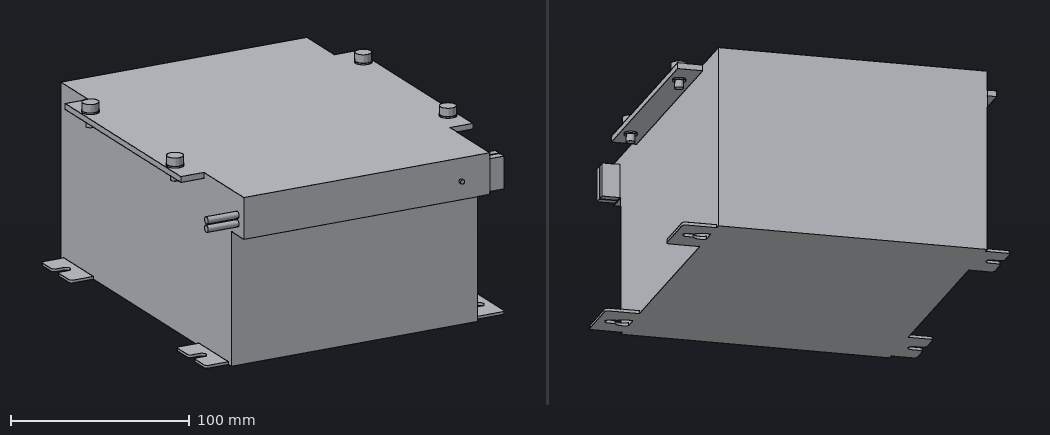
import cadquery as cq

overall_length = 218.0

housing_height = 105.0
base_length = 201.6
overhang_length = 14.5
overhang_height = 24.9
housing_depth = 156.3
upper_length = base_length + overhang_length
middle_x = base_length / 2

cover_length = 136.7
cover_reach = 14.5
cover_thickness = 3.5

screw_spacing = 100.0
screw_reach = 8.5
head_diameter = 9.5
head_height = 5.0
washer_diameter = 10.0
washer_thickness = 0.9
nut_diameter = 7.5
nut_thickness = 0.9
shank_diameter = 5.0
shank_reach = 5.2

tab_length = 35.0
tab_inset = 3.5
tab_thickness = 1.7
tab_corner_radius = 2.2
front_tab_reach = cover_reach
rear_tab_reach = 19.6
slot_inset = 20.5
slot_width = 5.5
front_slot_depth = 9.5
keyhole_diameter = 11.0
keyhole_reach = 3.5
keyhole_neck_reach = 14.8

cable_count = 2
cable_diameter = 4.1
cable_pitch = 5.0
cable_reach = 19.6
cable_x = 208.6
upper_cable_drop = 12.6

terminal_width = 5.0
terminal_gap = 0.9
terminal_reach = 10.2
terminal_height = 19.6
terminal_drop = 4.4
terminal_x = 208.8

pin_diameter = 2.6
pin_reach = overall_length - upper_length
pin_drop = 13.7
pin_rear_inset = 18.3
pin_y = housing_depth - pin_rear_inset


def block(x, y, z, length, depth, height):
    """Box placed by its lowest corner."""
    return cq.Workplane("XY").box(length, depth, height, centered=False).translate((x, y, z))


def disc(x, y, z, diameter, height):
    """Upright cylinder standing on height z."""
    return cq.Workplane("XY").circle(diameter / 2).extrude(height).translate((x, y, z))


def housing():
    overhang_bottom = housing_height - overhang_height
    lower = block(0, 0, 0, base_length, housing_depth, housing_height)
    upper = block(0, 0, overhang_bottom, upper_length, housing_depth, overhang_height)
    return lower.union(upper)


def cover():
    return block(
        middle_x - cover_length / 2,
        -cover_reach,
        housing_height - cover_thickness,
        cover_length,
        housing_depth + 2 * cover_reach,
        cover_thickness,
    )


def screw(x, y):
    """Screw through the cover lip, with a washer above and a nut below."""
    cover_bottom = housing_height - cover_thickness
    washer = disc(x, y, housing_height, washer_diameter, washer_thickness)
    head = disc(x, y, housing_height + washer_thickness, head_diameter, head_height)
    nut = disc(x, y, cover_bottom - nut_thickness, nut_diameter, nut_thickness)
    shank = disc(x, y, cover_bottom - shank_reach, shank_diameter, shank_reach)
    return washer.union(head).union(nut).union(shank)


def front_tab(x, slot_x):
    """Tab on the front wall, its left end at x, with a round-ended slot open to its front edge."""
    slot_end_y = front_slot_depth - front_tab_reach - slot_width / 2
    slot_straight = front_slot_depth - slot_width / 2
    plate = block(x, -front_tab_reach, 0, tab_length, front_tab_reach, tab_thickness)
    slot = block(slot_x - slot_width / 2, -front_tab_reach, 0, slot_width, slot_straight, tab_thickness)
    slot = slot.union(disc(slot_x, slot_end_y, 0, slot_width, tab_thickness))
    return plate.cut(slot).faces("<Y").edges("|Z").fillet(tab_corner_radius)


def rear_tab(x, keyhole_x):
    """Tab on the rear wall, its left end at x, with a keyhole that stops at the wall."""
    round_y = housing_depth + keyhole_reach
    neck_end_y = housing_depth + keyhole_neck_reach - slot_width / 2
    plate = block(x, housing_depth, 0, tab_length, rear_tab_reach, tab_thickness)
    plate = plate.edges("|Z and >Y").fillet(tab_corner_radius)
    neck = block(keyhole_x - slot_width / 2, round_y, 0, slot_width, neck_end_y - round_y, tab_thickness)
    neck_end = disc(keyhole_x, neck_end_y, 0, slot_width, tab_thickness)
    round_hole = disc(keyhole_x, round_y, 0, keyhole_diameter, tab_thickness)
    return plate.cut(neck).cut(neck_end).cut(round_hole)


def cable(z):
    return cq.Workplane("XZ").center(cable_x, z).circle(cable_diameter / 2).extrude(cable_reach)


def terminal(x):
    z = housing_height - terminal_drop - terminal_height
    return block(x - terminal_width / 2, housing_depth, z, terminal_width, terminal_reach, terminal_height)


def pin():
    profile = cq.Workplane("YZ", origin=(upper_length, pin_y, housing_height - pin_drop))
    return profile.circle(pin_diameter / 2).extrude(pin_reach)


result = housing().union(cover())

for tab_x, slot_x in (
    (tab_inset, slot_inset),
    (base_length - tab_inset - tab_length, base_length - slot_inset),
):
    result = result.union(front_tab(tab_x, slot_x))
    result = result.union(rear_tab(tab_x, slot_x))

for side in (-1, 1):
    screw_x = middle_x + side * screw_spacing / 2
    result = result.union(screw(screw_x, -screw_reach))
    result = result.union(screw(screw_x, housing_depth + screw_reach))
    result = result.union(terminal(terminal_x + side * (terminal_width + terminal_gap) / 2))

for position in range(cable_count):
    result = result.union(cable(housing_height - upper_cable_drop - position * cable_pitch))

result = result.union(pin())